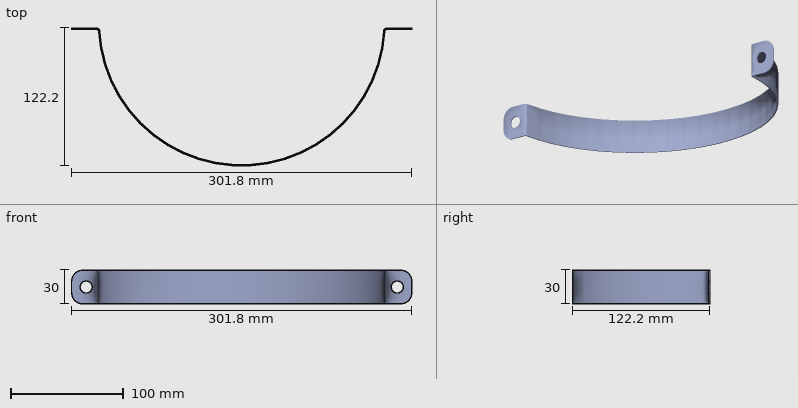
import cadquery as cq
import math

thickness = 1.25
strap_width = 30.0
band_inner_radius = 126.0
overall_length = 301.8
overall_depth = 122.25
bend_inner_radius = 1.25
ear_corner_radius = 10.0
hole_diameter = 10.5
hole_edge_distance = 13.0

band_outer_radius = band_inner_radius + thickness
bend_outer_radius = bend_inner_radius + thickness
tip_x = overall_length / 2
hole_x = tip_x - hole_edge_distance
ear_back_y = overall_depth - band_outer_radius
ear_front_y = ear_back_y - thickness

bend_center_y = ear_front_y - bend_inner_radius
bend_center_distance = band_outer_radius + bend_inner_radius
bend_center_x = math.sqrt(bend_center_distance**2 - bend_center_y**2)
band_end_angle = math.atan2(bend_center_y, bend_center_x)


def band_end(radius, side):
    """Point where the band meets the bend; side is +1 for +X and -1 for -X."""
    return (side * radius * math.cos(band_end_angle), radius * math.sin(band_end_angle))


def bend_middle(radius, side):
    """Point halfway round the bend, which turns from the ear to the band."""
    ear_direction = math.pi / 2
    band_direction = math.pi + band_end_angle
    angle = (ear_direction + band_direction) / 2
    x = bend_center_x + radius * math.cos(angle)
    y = bend_center_y + radius * math.sin(angle)
    return (side * x, y)


def make_strap():
    """Bent strip: half-round band with a bend and a flat ear at each end."""
    return (
        cq.Workplane("XY", origin=(0, 0, -strap_width / 2))
        .moveTo(-tip_x, ear_back_y)
        .lineTo(-bend_center_x, ear_back_y)
        .threePointArc(bend_middle(bend_outer_radius, -1), band_end(band_inner_radius, -1))
        .threePointArc((0, -band_inner_radius), band_end(band_inner_radius, 1))
        .threePointArc(bend_middle(bend_outer_radius, 1), (bend_center_x, ear_back_y))
        .lineTo(tip_x, ear_back_y)
        .lineTo(tip_x, ear_front_y)
        .lineTo(bend_center_x, ear_front_y)
        .threePointArc(bend_middle(bend_inner_radius, 1), band_end(band_outer_radius, 1))
        .threePointArc((0, -band_outer_radius), band_end(band_outer_radius, -1))
        .threePointArc(bend_middle(bend_inner_radius, -1), (-bend_center_x, ear_front_y))
        .lineTo(-tip_x, ear_front_y)
        .close()
        .extrude(strap_width)
    )


def round_ear_corners(strap):
    """Round the two free corners of each ear."""
    for tip_face in ("<X", ">X"):
        strap = strap.faces(tip_face).edges("|Y").fillet(ear_corner_radius)
    return strap


def drill_ear_holes(strap):
    """Cut one screw hole through each ear, along Y."""
    drills = (
        cq.Workplane("XZ", origin=(0, ear_back_y, 0))
        .pushPoints([(-hole_x, 0), (hole_x, 0)])
        .circle(hole_diameter / 2)
        .extrude(thickness)
    )
    return strap.cut(drills)


result = drill_ear_holes(round_ear_corners(make_strap()))